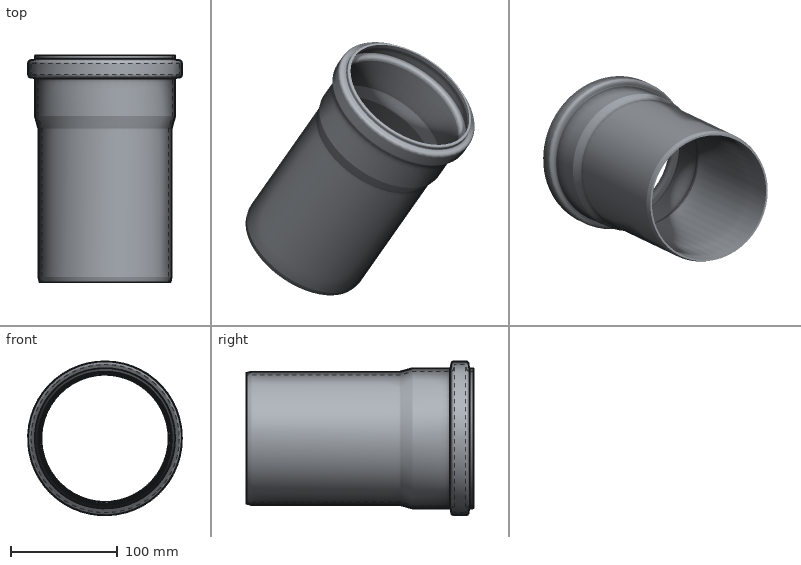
import cadquery as cq
import math

total_length = 213.0

pipe_diameter = 125.2
pipe_bore = 119.0
spigot_chamfer_length = 5.0
spigot_chamfer_angle = 15.0

socket_diameter = 131.6
socket_wall = 2.8
collar_diameter = 144.4
collar_side_angle = 6

collar_rim_start = 4.9
collar_rim_end = 20.9
cone_start = 57.2
cone_end = 68.7

lip_round = 1.4
collar_round = 3.1
root_round = 0.8

pipe_radius = pipe_diameter / 2
pipe_bore_radius = pipe_bore / 2
socket_radius = socket_diameter / 2
collar_radius = collar_diameter / 2
spigot_tip_radius = pipe_radius - spigot_chamfer_length * math.tan(math.radians(spigot_chamfer_angle))
collar_side_run = (collar_radius - socket_radius) * math.tan(math.radians(collar_side_angle))
inner_corner_shift = socket_wall * math.tan(math.radians(45 - collar_side_angle / 2))
mouth_y = total_length / 2
spigot_y = -total_length / 2


def depth(distance):
    """Y coordinate at a distance inward from the socket mouth."""
    return mouth_y - distance


def round_edge(body, round_radius, edge_radius, edge_y):
    """Round the circular edge of the given radius lying at the given Y."""
    tolerance = 0.01

    def disc_box(half_width):
        return cq.selectors.BoxSelector(
            (-half_width, edge_y - tolerance, -half_width),
            (half_width, edge_y + tolerance, half_width),
            boundingbox=True,
        )

    edge = disc_box(edge_radius + tolerance) - disc_box(edge_radius - tolerance)
    return body.edges(edge).fillet(round_radius)


def make_socket_form(wall_offset, corner_shift, pipe_end_points):
    """Turned body of the socket surface lying wall_offset inside the outer one."""
    rim_radius = collar_radius - wall_offset
    root_radius = socket_radius - wall_offset
    rim_start_y = depth(collar_rim_start + corner_shift)
    rim_end_y = depth(collar_rim_end - corner_shift)
    root_start_y = rim_start_y + collar_side_run
    root_end_y = rim_end_y - collar_side_run
    outline = [
        (0, mouth_y),
        (root_radius, mouth_y),
        (root_radius, root_start_y),
        (rim_radius, rim_start_y),
        (rim_radius, rim_end_y),
        (root_radius, root_end_y),
        (root_radius, depth(cone_start)),
    ]
    outline += pipe_end_points
    outline.append((0, spigot_y))
    body = cq.Workplane("XY").polyline(outline).close().revolve(360, (0, 0, 0), (0, 1, 0))
    for rim_y in (rim_start_y, rim_end_y):
        body = round_edge(body, collar_round - wall_offset, rim_radius, rim_y)
    for root_y in (root_start_y, root_end_y):
        body = round_edge(body, root_round + wall_offset, root_radius, root_y)
    return body


def make_outside():
    """Solid bounded by the outer surface of the whole pipe."""
    pipe_end_points = [
        (pipe_radius, depth(cone_end)),
        (pipe_radius, spigot_y + spigot_chamfer_length),
        (spigot_tip_radius, spigot_y),
    ]
    body = make_socket_form(0, 0, pipe_end_points)
    return round_edge(body, lip_round, socket_radius, mouth_y)


def make_hollow():
    """Inner space: lip bore, seal groove, socket bore, cone and pipe bore."""
    pipe_end_points = [
        (pipe_bore_radius, depth(cone_end)),
        (pipe_bore_radius, spigot_y),
    ]
    return make_socket_form(socket_wall, inner_corner_shift, pipe_end_points)


result = make_outside().cut(make_hollow())